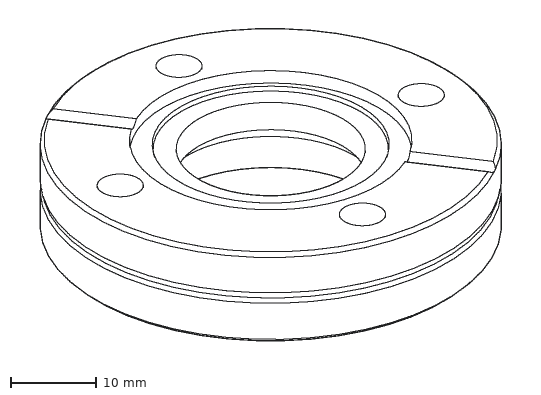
import cadquery as cq

outer_radius = 27.0
height = 12.0
edge_chamfer = 0.5

recess_radius = 16.5
recess_depth = 1.7
knife_radius = 13.9
knife_depth = 0.6
seat_radius = 13.75
seat_depth = 1.2
bore_radius = 11.05
bore_end_depth = 4.85
middle_bore_radius = 12.8
middle_bore_depth = 6.75
lower_bore_radius = 14.65

groove_radius = 26.8
groove_top_depth = 5.25
groove_floor_depth = 6.05
groove_bottom_depth = 6.65
groove_flank_radius = 1.6

bolt_circle_radius = 20.65
bolt_hole_radius = 2.7
bolt_hole_count = 4

slot_width = 2.5
slot_depth = 0.5
slot_angle = 45.0
slot_count = 2


def make_flange():
    """Revolve the ring section: rim on the outside, sealing knife edge and bore inside."""
    profile = (
        cq.Workplane("XZ")
        .moveTo(lower_bore_radius, 0)
        .lineTo(outer_radius - edge_chamfer, 0)
        .lineTo(outer_radius, edge_chamfer)
        .lineTo(outer_radius, height - groove_bottom_depth)
        .lineTo(groove_radius, height - groove_floor_depth)
        .radiusArc((outer_radius, height - groove_top_depth), groove_flank_radius)
        .lineTo(outer_radius, height - edge_chamfer)
        .lineTo(outer_radius - edge_chamfer, height)
        .lineTo(recess_radius, height)
        .lineTo(recess_radius, height - recess_depth)
        .lineTo(knife_radius, height - knife_depth)
        .lineTo(seat_radius, height - seat_depth)
        .lineTo(bore_radius, height - seat_depth)
        .lineTo(bore_radius, height - bore_end_depth)
        .lineTo(middle_bore_radius, height - bore_end_depth)
        .lineTo(middle_bore_radius, height - middle_bore_depth)
        .lineTo(lower_bore_radius, height - middle_bore_depth)
        .close()
    )
    return profile.revolve(360, (0, 0, 0), (0, 1, 0))


def make_bolt_holes():
    return (
        cq.Workplane("XY")
        .polarArray(bolt_circle_radius, 0, 360, bolt_hole_count)
        .circle(bolt_hole_radius)
        .extrude(height)
    )


def make_slot(angle):
    """Cylinder lying along a radius, dipping slot_depth below the top face."""
    cutter_radius = ((slot_width / 2) ** 2 + slot_depth**2) / (2 * slot_depth)
    return (
        cq.Workplane("YZ", origin=(knife_radius, 0, 0))
        .center(0, height - slot_depth + cutter_radius)
        .circle(cutter_radius)
        .extrude(outer_radius - knife_radius + edge_chamfer)
        .rotate((0, 0, 0), (0, 0, 1), angle)
    )


result = make_flange().cut(make_bolt_holes())
for slot_index in range(slot_count):
    result = result.cut(make_slot(slot_angle + slot_index * 360 / slot_count))